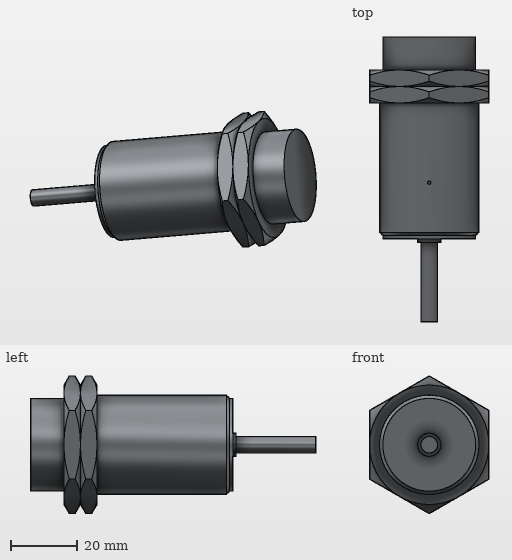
import cadquery as cq
import math


face_length = 10.0
nut_thickness = 5.0
nut_count = 2
body_end = 61.0
rear_rim_length = 1.0
collar_length = 1.0
total_length = 86.0

face_diameter = 28.0
body_diameter = 30.0
rear_chamfer = 1.0
collar_diameter = 7.0
cable_diameter = 5.0
nut_across_flats = 36.0
nut_chamfer_angle = 30.0

indicator_position = 44.0
indicator_diameter = 1.0
indicator_depth = 0.2

nut_corner_radius = nut_across_flats / math.sqrt(3)
half_hex_step = 180 / 6


def cylinder(start, length, diameter):
    """Cylinder on the axis, beginning at a distance behind the sensing face."""
    return (
        cq.Workplane("XZ", origin=(0, -start, 0))
        .circle(diameter / 2)
        .extrude(length)
    )


def hex_nut(start):
    """Solid hexagonal nut with corners chamfered on both faces, one corner pointing up."""
    prism = (
        cq.Workplane("XZ", origin=(0, -start, 0))
        .polygon(6, 2 * nut_corner_radius)
        .extrude(nut_thickness)
        .rotate((0, 0, 0), (0, 1, 0), half_hex_step)
    )
    flat_radius = nut_across_flats / 2
    chamfer_length = (nut_corner_radius - flat_radius) * math.tan(math.radians(nut_chamfer_angle))
    front = -start
    back = front - nut_thickness
    chamfer_envelope = (
        cq.Workplane("XY")
        .moveTo(0, front)
        .lineTo(flat_radius, front)
        .lineTo(nut_corner_radius, front - chamfer_length)
        .lineTo(nut_corner_radius, back + chamfer_length)
        .lineTo(flat_radius, back)
        .lineTo(0, back)
        .close()
        .revolve(360, (0, 0, 0), (0, 1, 0))
    )
    return prism.intersect(chamfer_envelope)


def sensor_body():
    """Sensing head, main barrel with chamfered rear edge, and rear rim."""
    barrel_length = body_end - rear_rim_length - face_length
    barrel = cylinder(face_length, barrel_length, body_diameter).faces("<Y").chamfer(rear_chamfer)
    head = cylinder(0, face_length, face_diameter)
    rim_diameter = body_diameter - 2 * rear_chamfer
    rim = cylinder(body_end - rear_rim_length, rear_rim_length, rim_diameter)
    return head.union(barrel).union(rim)


def cable_exit():
    """Short collar on the rear face with the round cable running out of it."""
    collar = cylinder(body_end, collar_length, collar_diameter)
    cable = cylinder(body_end, total_length - body_end, cable_diameter)
    return collar.union(cable)


def indicator_recess():
    """Cutter for the small round indicator window on top of the barrel."""
    floor_height = body_diameter / 2 - indicator_depth
    return (
        cq.Workplane("XY", origin=(0, -indicator_position, floor_height))
        .circle(indicator_diameter / 2)
        .extrude(2 * indicator_depth)
    )


result = sensor_body().union(cable_exit())
for nut_index in range(nut_count):
    result = result.union(hex_nut(face_length + nut_index * nut_thickness))
result = result.cut(indicator_recess())